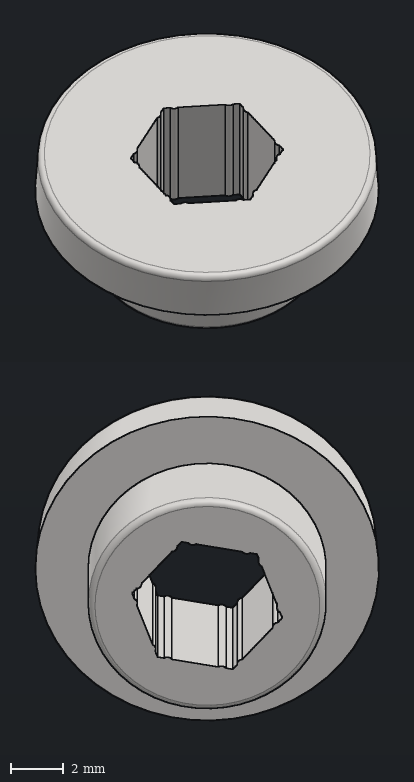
import cadquery as cq
import math

total_height = 5.0
flange_height = 2.0
flange_radius = 6.5
flange_draft = 3.0
collar_radius = 4.5
edge_fillet = 0.25

bore_across_flats = 5.0
bore_sides = 6
ridge_offset = 1.04
ridge_width = 0.3
ridge_height = 0.06

collar_height = total_height - flange_height
bore_apothem = bore_across_flats / 2
bore_half_side = bore_apothem * math.tan(math.pi / bore_sides)


def make_body():
    """Drafted flange on a cylindrical collar, rounded at both outer rims."""
    collar = (
        cq.Workplane("XY")
        .circle(collar_radius)
        .extrude(collar_height)
        .faces("<Z")
        .edges()
        .fillet(edge_fillet)
    )
    flange = (
        cq.Workplane("XY")
        .workplane(offset=collar_height)
        .circle(flange_radius)
        .extrude(flange_height, taper=flange_draft)
        .faces(">Z")
        .edges()
        .fillet(edge_fillet)
    )
    return collar.union(flange)


def bore_point(side_index, along, inward=0.0):
    """Point on one bore flat, measured along the flat and inward from it."""
    angle = math.pi / 2 + side_index * 2 * math.pi / bore_sides
    reach = bore_apothem - inward
    x = reach * math.cos(angle) - along * math.sin(angle)
    y = reach * math.sin(angle) + along * math.cos(angle)
    return (x, y)


def make_bore():
    """Prism that cuts the ridged hexagonal bore through the full height."""
    outline = cq.Workplane("XY").moveTo(*bore_point(0, -bore_half_side))
    for side in range(bore_sides):
        for ridge_centre in (-ridge_offset, ridge_offset):
            ridge_start = bore_point(side, ridge_centre - ridge_width / 2)
            ridge_crest = bore_point(side, ridge_centre, ridge_height)
            ridge_end = bore_point(side, ridge_centre + ridge_width / 2)
            outline = outline.lineTo(*ridge_start).threePointArc(ridge_crest, ridge_end)
        if side < bore_sides - 1:
            outline = outline.lineTo(*bore_point(side, bore_half_side))
    return outline.close().extrude(total_height)


result = make_body().cut(make_bore())